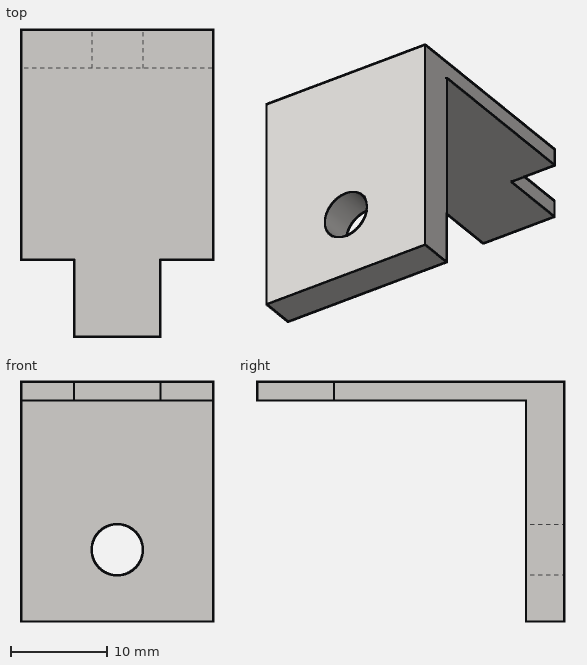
import cadquery as cq

width = 20.0
depth = 32.0
height = 25.0

wall_thickness = 4.0
plate_thickness = 2.0

tab_width = 9.0
tab_length = 8.0

hole_diameter = 5.3
hole_height = 7.5

plate_bottom = height - plate_thickness


def centred_block(block_width, y_front, y_back, z_bottom, z_top):
    """Box centred on X that spans the given Y and Z ranges."""
    return (
        cq.Workplane("XY")
        .box(block_width, y_back - y_front, z_top - z_bottom, centered=(True, False, False))
        .translate((0, y_front, z_bottom))
    )


wall = centred_block(width, depth - wall_thickness, depth, 0, height)
plate = centred_block(width, tab_length, depth, plate_bottom, height)
tab = centred_block(tab_width, 0, depth, plate_bottom, height)

hole = (
    cq.Workplane("XZ", origin=(0, depth, hole_height))
    .circle(hole_diameter / 2)
    .extrude(wall_thickness)
)

result = wall.union(plate).union(tab).cut(hole)